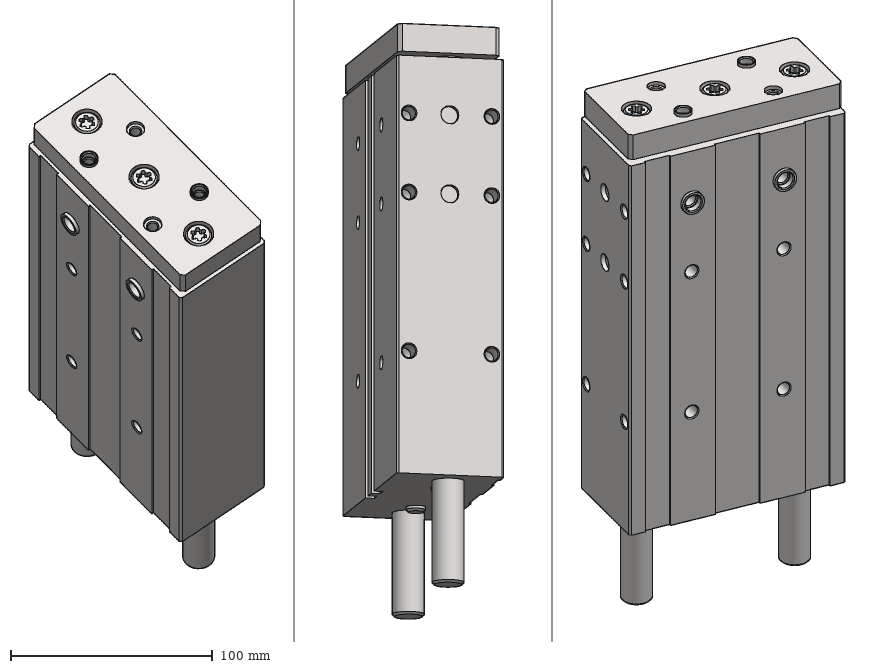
import cadquery as cq
import math


housing_width = 120.0
housing_depth = 54.5
housing_height = 210.5
housing_corner = 1.0
front_y = -housing_depth / 2
left_x = -housing_width / 2

channel_depth = 1.0
middle_channel_half_width = 12.4
outer_channel_inner_x = 37.3
outer_channel_outer_x = 51.0

sensor_slot_width = 6.0
sensor_slot_depth = 4.5
sensor_slot_x = 6.5

thread_diameter = 6.7
thread_mouth_diameter = 8.0
front_hole_x = 25.5
hole_levels = [61.8, 141.8, 181.7]
sleeve_level = hole_levels[-1]
side_hole_y = 21.0
side_hole_depth = 11.2
drill_tip_slope = 30
drill_tip_height = thread_diameter / 2 * math.tan(math.radians(drill_tip_slope))

port_diameter = 9.0
port_depth = 2.5
port_y = 0.3
port_levels = hole_levels[1:]

button_diameter = 9.8
button_height = 2.5
button_chamfer = 1.0
button_x = 27.5

plate_width = 118.2
plate_depth = 51.7
plate_height = 14.0
plate_gap = 2.2
plate_corner = 2.0
plate_y = 0.42
plate_bottom = housing_height + plate_gap
plate_top = plate_bottom + plate_height

guide_rod_diameter = 16.0
guide_rod_overhang = 52.2
guide_rod_chamfer = 1.0
guide_rod_x = 43.8
guide_rod_y = -2.5
piston_rod_diameter = 9.8
piston_rod_y = -1.7
piston_rod_insertion = housing_height / 2

screw_shank_diameter = 8.0
screw_head_diameter = 13.0
screw_head_chamfer = 0.8
screw_head_height = 8.0
screw_recess_diameter = 15.0
screw_recess_depth = 8.5
socket_core_diameter = 5.5
socket_lobe_diameter = 2.0
socket_lobe_offset = 3.0
socket_lobes = 6
socket_depth = 3.5

seat_depth = 2.0
sleeve_bore_chamfer = 0.5
front_sleeve_protrusion = 2.0
front_sleeve_length = seat_depth + front_sleeve_protrusion
front_sleeve_diameter = 12.0
front_sleeve_bore = 8.7
plate_sleeve_protrusion = 1.7
plate_sleeve_length = seat_depth + plate_sleeve_protrusion
plate_sleeve_diameter = 9.0
plate_sleeve_bore = 6.7

plate_hole_diameter = 5.0
plate_hole_mouth_diameter = 6.2
plate_hole_x = 25.0
plate_hole_y = 15.0

guide_rod_places = [(side * guide_rod_x, guide_rod_y) for side in (-1, 1)]
piston_rod_place = (0, piston_rod_y)
plate_hole_places = [
    (x_side * plate_hole_x, piston_rod_y + y_side * plate_hole_y) for x_side in (-1, 1) for y_side in (-1, 1)
]
plate_sleeve_places = [
    (side * plate_hole_x, piston_rod_y + side * plate_hole_y) for side in (-1, 1)
]
front_sleeve_places = [(side * front_hole_x, sleeve_level) for side in (-1, 1)]


def cylinder(diameter, height, start, direction):
    """A round bar that starts at a point and runs along a direction."""
    return cq.Workplane(cq.Solid.makeCylinder(diameter / 2, height, cq.Vector(*start), cq.Vector(*direction)))


def cone(start_diameter, end_diameter, height, start, direction):
    """A tapered bar that starts at a point and runs along a direction."""
    return cq.Workplane(
        cq.Solid.makeCone(
            start_diameter / 2, end_diameter / 2, height, cq.Vector(*start), cq.Vector(*direction)
        )
    )


def upright_bar(x_start, x_end, y_start, y_end):
    """A rectangular bar over the full height of the housing."""
    return cq.Workplane().box(x_end - x_start, y_end - y_start, housing_height, centered=False).translate(
        (x_start, y_start, 0)
    )


def chamfered_hole(diameter, mouth_diameter, depth, start, direction):
    """A drill shape with a 45 degree chamfer at its mouth."""
    chamfer = (mouth_diameter - diameter) / 2
    mouth = cone(mouth_diameter, diameter, chamfer, start, direction)
    return cylinder(diameter, depth, start, direction).union(mouth)


def housing_profile():
    """The housing block with its front channels and sensor slots."""
    block = cq.Workplane().box(housing_width, housing_depth, housing_height, centered=(True, True, False))
    block = block.edges("|Z").chamfer(housing_corner)
    floor_y = front_y + channel_depth
    block = block.cut(upright_bar(-middle_channel_half_width, middle_channel_half_width, front_y, floor_y))
    block = block.cut(upright_bar(-outer_channel_outer_x, -outer_channel_inner_x, front_y, floor_y))
    block = block.cut(upright_bar(outer_channel_inner_x, outer_channel_outer_x, front_y, floor_y))
    back_y = housing_depth / 2
    for x in (-sensor_slot_x, sensor_slot_x):
        half_width = sensor_slot_width / 2
        block = block.cut(upright_bar(x - half_width, x + half_width, back_y - sensor_slot_depth, back_y))
    return block


def cut_front_holes(block):
    """Through holes from front to back, the upper two with sleeve seats."""
    inward = (0, 1, 0)
    for x in (-front_hole_x, front_hole_x):
        for level in hole_levels:
            mouth_y = front_y
            if level == sleeve_level:
                mouth_y = front_y + seat_depth
                block = block.cut(cylinder(front_sleeve_diameter, seat_depth, (x, front_y, level), inward))
            block = block.cut(
                chamfered_hole(
                    thread_diameter, thread_mouth_diameter, housing_depth, (x, mouth_y, level), inward
                )
            )
    return block


def cut_side_holes(block):
    """Blind drilled holes and shallow ports in the left side."""
    inward = (1, 0, 0)
    for level in hole_levels:
        for y in (-side_hole_y, side_hole_y):
            mouth = (left_x, y, level)
            hole_end = (left_x + side_hole_depth, y, level)
            block = block.cut(
                chamfered_hole(thread_diameter, thread_mouth_diameter, side_hole_depth, mouth, inward)
            )
            block = block.cut(cone(thread_diameter, 0, drill_tip_height, hole_end, inward))
    for level in port_levels:
        block = block.cut(cylinder(port_diameter, port_depth, (left_x, port_y, level), inward))
    return block


def cut_rod_bores(block):
    """Through bores for the guide rods and a blind bore for the piston rod."""
    for x, y in guide_rod_places:
        block = block.cut(cylinder(guide_rod_diameter, housing_height, (x, y, 0), (0, 0, 1)))
    top = (*piston_rod_place, housing_height)
    return block.cut(cylinder(piston_rod_diameter, piston_rod_insertion, top, (0, 0, -1)))


def add_stop_buttons(block):
    """Two chamfered buttons on the lower end of the housing."""
    for x in (-button_x, button_x):
        button = cylinder(button_diameter, button_height, (x, guide_rod_y, 0), (0, 0, -1))
        block = block.union(button.faces("<Z").chamfer(button_chamfer))
    return block


def make_housing():
    block = add_stop_buttons(housing_profile())
    return cut_rod_bores(cut_side_holes(cut_front_holes(block)))


def make_plate():
    """The yoke plate with its screw recesses and sleeve seats."""
    block = cq.Workplane().box(plate_width, plate_depth, plate_height, centered=(True, True, False))
    block = block.edges("|Z").chamfer(plate_corner).translate((0, plate_y, plate_bottom))
    downward = (0, 0, -1)
    for x, y in [*guide_rod_places, piston_rod_place]:
        mouth = (x, y, plate_top)
        block = block.cut(cylinder(screw_recess_diameter, screw_recess_depth, mouth, downward))
        block = block.cut(cylinder(screw_shank_diameter, plate_height, mouth, downward))
    for x, y in plate_hole_places:
        seat_floor = (x, y, plate_top - seat_depth)
        block = block.cut(cylinder(plate_sleeve_diameter, seat_depth, (x, y, plate_top), downward))
        block = block.cut(
            chamfered_hole(plate_hole_diameter, plate_hole_mouth_diameter, plate_height, seat_floor, downward)
        )
    return block


def screw_end(x, y):
    """The shank and lobed-socket head of a screw through the plate."""
    head_bottom = plate_top - screw_recess_depth
    head_top = head_bottom + screw_head_height
    shank = cylinder(screw_shank_diameter, head_bottom - plate_bottom, (x, y, plate_bottom), (0, 0, 1))
    head = cylinder(screw_head_diameter, screw_head_height, (x, y, head_bottom), (0, 0, 1))
    head = head.faces(">Z").chamfer(screw_head_chamfer)
    socket = cylinder(socket_core_diameter, socket_depth, (x, y, head_top), (0, 0, -1))
    for index in range(socket_lobes):
        angle = math.pi / 2 + index * 2 * math.pi / socket_lobes
        lobe_x = x + socket_lobe_offset * math.cos(angle)
        lobe_y = y + socket_lobe_offset * math.sin(angle)
        lobe = cylinder(socket_lobe_diameter, socket_depth, (lobe_x, lobe_y, head_top), (0, 0, -1))
        socket = socket.union(lobe)
    return shank.union(head).cut(socket)


def make_guide_rod(x, y):
    """A guide rod that runs through the housing, with its plate screw."""
    length = plate_bottom + guide_rod_overhang
    rod = cylinder(guide_rod_diameter, length, (x, y, -guide_rod_overhang), (0, 0, 1))
    return rod.faces("<Z").chamfer(guide_rod_chamfer).union(screw_end(x, y))


def make_piston_rod(x, y):
    """The piston rod above its blind bore, with its plate screw."""
    bottom = housing_height - piston_rod_insertion
    rod = cylinder(piston_rod_diameter, plate_bottom - bottom, (x, y, bottom), (0, 0, 1))
    return rod.union(screw_end(x, y))


def make_sleeve(diameter, bore, length, start, direction):
    """A centring sleeve standing on the floor of its seat."""
    body = cylinder(diameter, length, start, direction)
    outer_end = cq.Vector(*start) + cq.Vector(*direction) * length
    inward = cq.Vector(*direction) * -1
    mouth_diameter = bore + 2 * sleeve_bore_chamfer
    return body.cut(
        chamfered_hole(bore, mouth_diameter, length, outer_end.toTuple(), inward.toTuple())
    )


def make_front_sleeve(x, z):
    seat_floor = (x, front_y + seat_depth, z)
    return make_sleeve(front_sleeve_diameter, front_sleeve_bore, front_sleeve_length, seat_floor, (0, -1, 0))


def make_plate_sleeve(x, y):
    seat_floor = (x, y, plate_top - seat_depth)
    return make_sleeve(plate_sleeve_diameter, plate_sleeve_bore, plate_sleeve_length, seat_floor, (0, 0, 1))


housing = make_housing()
plate = make_plate()
guide_rods = [make_guide_rod(x, y) for x, y in guide_rod_places]
piston_rod = make_piston_rod(*piston_rod_place)
front_sleeves = [make_front_sleeve(x, z) for x, z in front_sleeve_places]
plate_sleeves = [make_plate_sleeve(x, y) for x, y in plate_sleeve_places]

result = cq.Compound.makeCompound(
    [
        housing.val(),
        plate.val(),
        *[rod.val() for rod in guide_rods],
        piston_rod.val(),
        *[sleeve.val() for sleeve in front_sleeves],
        *[sleeve.val() for sleeve in plate_sleeves],
    ]
)